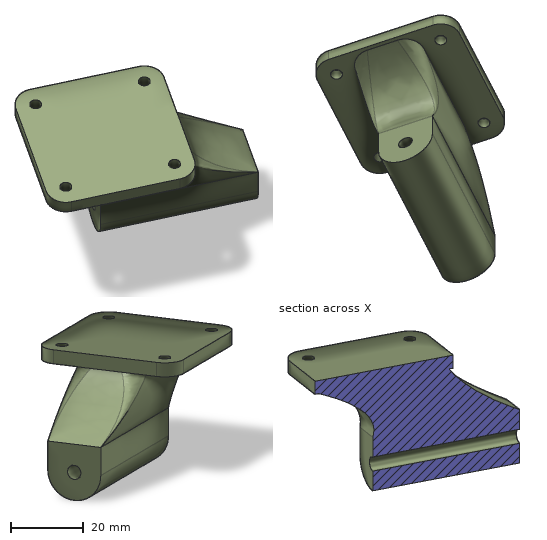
import cadquery as cq

plate_side = 42.3
plate_thickness = 4.0
plate_corner_radius = 5.65
screw_diameter = 3.2
screw_spacing = 31.0

total_length = 62.65
total_height = 36.0
bar_width = 16.05
bar_length = 45.0
bar_radius = bar_width / 2
bore_diameter = 4.0

bore_height = bar_radius
bar_top = 2 * bar_radius
plate_bottom = total_height - plate_thickness
bar_back = total_length - plate_side / 2
bar_front = bar_back - bar_length

neck_base_corner = 0.03
neck_waist_width = 20.2
neck_waist_length = 34.6
neck_waist_center = 11.0
neck_top_width = 20.3
neck_top_length = 40.1
neck_waist_corner = 1.9


def make_plate():
    plate = (
        cq.Workplane("XY", origin=(0, 0, plate_bottom))
        .rect(plate_side, plate_side)
        .extrude(plate_thickness)
        .edges("|Z")
        .fillet(plate_corner_radius)
    )
    return (
        plate.faces(">Z")
        .workplane()
        .rect(screw_spacing, screw_spacing, forConstruction=True)
        .vertices()
        .hole(screw_diameter)
    )


def make_bar():
    return (
        cq.Workplane("XZ", origin=(0, bar_back, 0))
        .moveTo(-bar_radius, bar_top)
        .lineTo(-bar_radius, bore_height)
        .threePointArc((0, 0), (bar_radius, bore_height))
        .lineTo(bar_radius, bar_top)
        .close()
        .extrude(bar_length)
    )


def neck_section(width, length, corner, center_y, height):
    sketch = cq.Sketch().rect(width, length).vertices().fillet(corner)
    return sketch.moved(cq.Location(cq.Vector(0, center_y, height)))


def make_neck():
    bar_center = (bar_front + bar_back) / 2
    waist_height = (bar_top + plate_bottom) / 2
    base = neck_section(bar_width, bar_length, neck_base_corner, bar_center, bar_top)
    waist = neck_section(
        neck_waist_width, neck_waist_length, neck_waist_corner, neck_waist_center, waist_height
    )
    top = neck_section(neck_top_width, neck_top_length, plate_corner_radius, 0, plate_bottom)
    return cq.Workplane("XY").placeSketch(base, waist, top).loft()


bore = (
    cq.Workplane("XZ", origin=(0, bar_back, 0))
    .center(0, bore_height)
    .circle(bore_diameter / 2)
    .extrude(bar_length)
)

result = make_bar().cut(bore).union(make_neck()).union(make_plate())